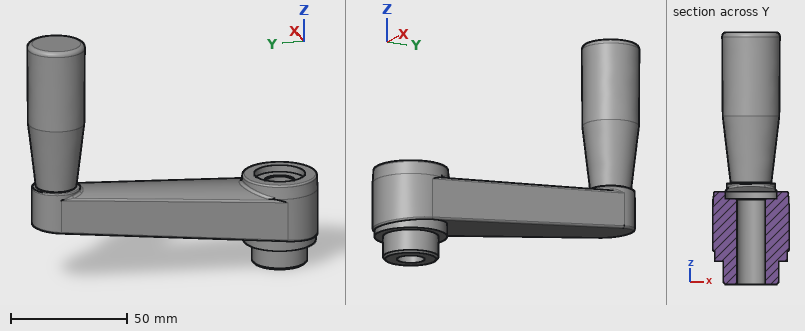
import cadquery as cq
import math

ARM_LENGTH = 100.0

HUB_RADIUS = 16.5
HUB_TOP = 30.0
HUB_TAPER_START = 23.9
HUB_TOP_RADIUS = 16.1
HUB_TOP_FILLET = 0.8
COLLAR_RADIUS = 31.33 / 2
STUB_RADIUS = 12.0
STUB_LENGTH = 10.0
STUB_CHAMFER = 1.0
BORE_RADIUS = 6.0
BORE_CHAMFER = 0.5
MOUTH_ANGLE = 45.0
COUNTERBORE_RADIUS = 11.0
COUNTERBORE_DEPTH = 3.0

BOSS_RADIUS = 10.5
BOSS_TOP = 33.6
BOSS_TOP_FILLET = 0.5

CREST_AT_HUB = 25.15
CREST_AT_BOSS = 33.3
CROWN_RISE_AT_HUB = 2.2
CROWN_RISE_AT_BOSS = 1.9
UNDERSIDE_FRONT = 2.35
UNDERSIDE_BACK = 16.4
EDGE_FILLET = 1.0
JOINT_FILLET = 1.2
JOINT_SPREAD = 1.4

GRIP_TOP = 98.6
GRIP_BREAK = 62.7
GRIP_RADIUS = 12.5
GRIP_BREAK_RADIUS = 12.25
GRIP_FOOT_RADIUS = 8.85
GRIP_FOOT_CHAMFER = 0.5
GRIP_TOP_FILLET = 2.0

PLAN_TAPER = math.asin((HUB_RADIUS - BOSS_RADIUS) / ARM_LENGTH)
ARM_FRONT = -HUB_RADIUS
ARM_BACK = ARM_LENGTH + BOSS_RADIUS


def cylinder(radius, bottom, top, y=0.0):
    """Vertical cylinder between two heights, with its axis at the given Y."""
    return cq.Workplane("XY", origin=(0, y, bottom)).circle(radius).extrude(top - bottom)


def crown_section(axis_y, radius, crown_rise, spread):
    """Arc-topped wire across the arm, in line with one pair of tangent points.

    A spread of 1 ends the arc at the web's sides; a larger one continues it beyond them.
    """
    y = axis_y + radius * math.sin(PLAN_TAPER)
    half_width = radius * math.cos(PLAN_TAPER)
    crest = CREST_AT_HUB + (CREST_AT_BOSS - CREST_AT_HUB) * y / ARM_LENGTH
    arc_radius = (half_width**2 + crown_rise**2) / (2 * crown_rise)
    half_angle = spread * math.asin(half_width / arc_radius)
    side = arc_radius * math.sin(half_angle)
    edge = crest - arc_radius * (1 - math.cos(half_angle))
    return (
        cq.Workplane("XZ", origin=(0, y, 0))
        .moveTo(-side, 0)
        .lineTo(-side, edge)
        .threePointArc((0, crest), (side, edge))
        .lineTo(side, 0)
        .close()
        .wires()
        .val()
    )


def make_crowned_bar(spread=1.0):
    """Crowned bar from the hub's tangent points to the boss's."""
    hub_section = crown_section(0, HUB_RADIUS, CROWN_RISE_AT_HUB, spread)
    boss_section = crown_section(ARM_LENGTH, BOSS_RADIUS, CROWN_RISE_AT_BOSS, spread)
    return cq.Workplane(cq.Solid.makeLoft([hub_section, boss_section], True))


def make_web():
    """Crowned web with rounded upper edges and flat sides tangent to the hub and the boss."""
    web = make_crowned_bar()
    upper_side_edges = web.faces(">Z").edges("not #Y").edges("<X or >X")
    return web.newObject(upper_side_edges.vals()).fillet(EDGE_FILLET)


def make_hub_joint():
    """Hub wall and crown joined by a concave fillet, kept clear of the web's rounded edges."""
    front = HUB_RADIUS * math.sin(PLAN_TAPER)
    back = 2 * HUB_RADIUS
    height = HUB_TOP - HUB_TOP_FILLET

    wall_slope = (HUB_RADIUS - HUB_TOP_RADIUS) / (HUB_TOP - HUB_TAPER_START)
    foot_radius = HUB_TOP_RADIUS + wall_slope * HUB_TOP
    wall = (
        cq.Workplane("XZ")
        .lineTo(foot_radius, 0)
        .lineTo(foot_radius - wall_slope * height, height)
        .lineTo(0, height)
        .close()
        .revolve(360, (0, 0), (0, 1))
    )
    bar_side = cq.Workplane("XY", origin=(0, front, 0))
    bar_side = bar_side.box(2 * back, back, height, centered=(True, False, False))
    joint = make_crowned_bar(JOINT_SPREAD).union(wall.intersect(bar_side))
    corner = joint.edges(cq.selectors.NearestToPointSelector((0, HUB_TOP_RADIUS, CREST_AT_HUB)))
    joint = corner.fillet(JOINT_FILLET)

    def inner_half_width(y):
        """Distance from the centre line to where the web's edge rounding begins."""
        return HUB_RADIUS / math.cos(PLAN_TAPER) - y * math.tan(PLAN_TAPER) - EDGE_FILLET

    footprint = (
        cq.Workplane("XY")
        .moveTo(-inner_half_width(front), front)
        .lineTo(inner_half_width(front), front)
        .lineTo(inner_half_width(back), back)
        .lineTo(-inner_half_width(back), back)
        .close()
        .extrude(height)
    )
    return joint.intersect(footprint)


def make_lower_cut():
    """Block that lies below the sloping underside of the arm."""
    slope = (UNDERSIDE_BACK - UNDERSIDE_FRONT) / (ARM_BACK - ARM_FRONT)
    margin = HUB_RADIUS
    front = ARM_FRONT - margin
    back = ARM_BACK + margin
    depth = -STUB_LENGTH
    return (
        cq.Workplane("YZ")
        .moveTo(front, depth)
        .lineTo(front, UNDERSIDE_FRONT - slope * margin)
        .lineTo(back, UNDERSIDE_BACK + slope * margin)
        .lineTo(back, depth)
        .close()
        .extrude(2 * HUB_RADIUS, both=True)
    )


def make_arm():
    """Hub, web and boss as one casting with a sloping, rounded underside."""
    hub = cylinder(HUB_RADIUS, 0, HUB_TAPER_START)
    boss = cylinder(BOSS_RADIUS, 0, BOSS_TOP, ARM_LENGTH).faces(">Z").edges().fillet(BOSS_TOP_FILLET)
    arm = make_web().union(boss)
    boss_foot = (0, ARM_LENGTH - BOSS_RADIUS, CREST_AT_BOSS)
    arm = arm.edges(cq.selectors.NearestToPointSelector(boss_foot)).fillet(JOINT_FILLET)
    arm = arm.union(hub).union(make_hub_joint()).cut(make_lower_cut())
    return arm.faces("<Z").edges().fillet(EDGE_FILLET)


def make_hub_top():
    """Slightly tapered upper part of the hub."""
    return (
        cq.Workplane("XZ")
        .moveTo(0, HUB_TAPER_START)
        .lineTo(HUB_RADIUS, HUB_TAPER_START)
        .lineTo(HUB_TOP_RADIUS, HUB_TOP)
        .lineTo(0, HUB_TOP)
        .close()
        .revolve(360, (0, 0), (0, 1))
        .faces(">Z")
        .edges()
        .fillet(HUB_TOP_FILLET)
    )


def make_insert():
    """Collar and chamfered stub below the hub."""
    collar = cylinder(COLLAR_RADIUS, 0, HUB_TAPER_START)
    stub = cylinder(STUB_RADIUS, -STUB_LENGTH, 0).faces("<Z").edges().chamfer(STUB_CHAMFER)
    return collar.union(stub)


def make_bore():
    """Stepped bore with a countersunk mouth, running through the hub."""
    floor = HUB_TOP - COUNTERBORE_DEPTH
    bore = cylinder(BORE_RADIUS, -STUB_LENGTH, floor)
    mouth = cq.Workplane("XY", origin=(0, 0, floor)).circle(BORE_RADIUS + BORE_CHAMFER)
    mouth = mouth.extrude(-BORE_CHAMFER, taper=MOUTH_ANGLE)
    return bore.union(mouth).union(cylinder(COUNTERBORE_RADIUS, floor, HUB_TOP))


def make_grip():
    """Turned grip with a rounded top, standing on the boss."""
    return (
        cq.Workplane("XZ", origin=(0, ARM_LENGTH, 0))
        .moveTo(0, BOSS_TOP)
        .lineTo(GRIP_FOOT_RADIUS - GRIP_FOOT_CHAMFER, BOSS_TOP)
        .lineTo(GRIP_FOOT_RADIUS, BOSS_TOP + GRIP_FOOT_CHAMFER)
        .lineTo(GRIP_BREAK_RADIUS, GRIP_BREAK)
        .lineTo(GRIP_RADIUS, GRIP_TOP)
        .lineTo(0, GRIP_TOP)
        .close()
        .revolve(360, (0, 0), (0, 1))
        .faces(">Z")
        .edges()
        .fillet(GRIP_TOP_FILLET)
    )


result = make_arm().union(make_hub_top()).union(make_insert()).union(make_grip()).cut(make_bore())